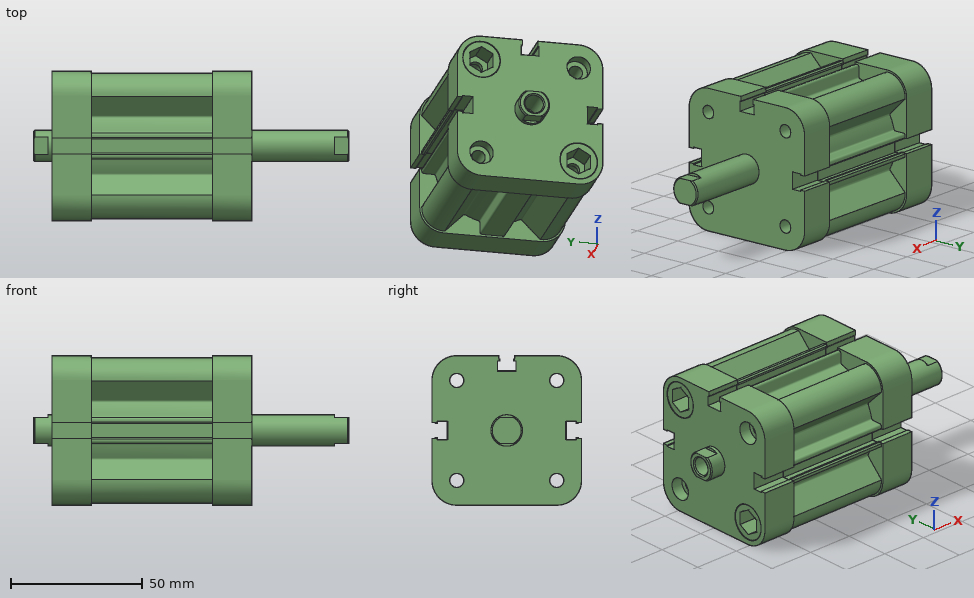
import cadquery as cq
import math


rod_length = 120.0
cap_size = 57.0
cap_length = 15.0
cap_corner_radius = 9.5
barrel_length = 46.1
barrel_size = 55.5
barrel_corner_radius = 8.8
tube_radius = 22.9
housing_start = 7.0
housing_length = barrel_length + 2 * cap_length
barrel_start = housing_start + cap_length
barrel_half = barrel_size / 2

rail_half_width = 4.9
rail_round = 1.0
column_slope = math.radians(45)
column_edge = 18.7
recess_fillet = 0.8

cap_slot_half_width = 3.5
barrel_slot_half_width = 3.6
slot_lip_bottom = 26.4
cap_neck_half_width = 3.0
cap_slot_floor = 22.5
barrel_neck_half_width = 2.6
barrel_lip_chamfer = 0.6
barrel_slot_floor = 22.8

hole_offset = cap_size / 2 - cap_corner_radius
through_diameter = 5.3
counterbore_diameter = 9.1
counterbore_depth = 5.0
screw_diameter = 14.4
screw_bore_diameter = 14.8
screw_length = 12.0
screw_recess = 0.1
hex_across_flats = 9.1
hex_depth = 9.6

rod_diameter = 12.0
rod_chamfer = 0.5
rod_flat_width = 10.0
rod_flat_length = 5.4
thread_diameter = 7.2
thread_chamfer = 0.5
thread_depth = 14.4
drill_half_angle = math.radians(59)

slot_angles = (0, 90, -90)
side_angles = (0, 90, 180, 270)
screw_corners = [(hole_offset, hole_offset), (-hole_offset, -hole_offset)]
plain_corners = [(hole_offset, -hole_offset), (-hole_offset, hole_offset)]


def section(x):
    """Workplane across the axis at x, with local X along Y and local Y along Z."""
    return cq.Workplane("YZ", origin=(x, 0, 0))


def turned(body, angle):
    """The body turned about the cylinder axis."""
    return body.rotate((0, 0, 0), (1, 0, 0), angle)


def rounded_block(x, length, size, corner_radius):
    return section(x).rect(size, size).extrude(length).edges("|X").fillet(corner_radius)


def barrel_recess():
    """Space between the top rail and a corner column, with the round tube as its floor."""
    slope = math.tan(column_slope)
    flank_base = barrel_half - slope * column_edge
    square_term = 1 + slope**2
    root = math.sqrt(square_term * tube_radius**2 - flank_base**2)
    floor_y = (root - slope * flank_base) / square_term
    floor_z = flank_base + slope * floor_y

    rail_foot_z = math.sqrt(tube_radius**2 - rail_half_width**2)
    middle_y = (rail_half_width + floor_y) / 2
    middle_z = math.sqrt(tube_radius**2 - middle_y**2)
    round_middle = rail_round * (1 - math.sqrt(0.5))

    recess = (
        section(barrel_start)
        .moveTo(rail_half_width - rail_round, barrel_half)
        .threePointArc(
            (rail_half_width - round_middle, barrel_half - round_middle),
            (rail_half_width, barrel_half - rail_round),
        )
        .lineTo(rail_half_width, rail_foot_z)
        .threePointArc((middle_y, middle_z), (floor_y, floor_z))
        .lineTo(column_edge, barrel_half)
        .close()
        .extrude(barrel_length)
    )
    middle_x = barrel_start + barrel_length / 2
    for y, z in [(floor_y, floor_z), (rail_half_width, rail_foot_z)]:
        foot_edge = cq.NearestToPointSelector((middle_x, y, z))
        recess = recess.edges("|X").edges(foot_edge).fillet(recess_fillet)
    return recess


def slot(x, length, top, neck_half_width, slot_half_width, floor):
    """T-slot in the top side, from its opening at the given height down to its floor."""
    right_side = [
        (neck_half_width, top),
        (neck_half_width, slot_lip_bottom),
        (slot_half_width, slot_lip_bottom),
        (slot_half_width, floor),
    ]
    left_side = [(-y, z) for y, z in reversed(right_side)]
    return section(x).polyline(right_side + left_side).close().extrude(length)


def lip_chamfers():
    """Wedge that bevels both lips of the top barrel slot."""
    outer_half_width = barrel_neck_half_width + barrel_lip_chamfer
    return (
        section(barrel_start)
        .moveTo(-outer_half_width, barrel_half)
        .lineTo(outer_half_width, barrel_half)
        .lineTo(barrel_neck_half_width, barrel_half - barrel_lip_chamfer)
        .lineTo(-barrel_neck_half_width, barrel_half - barrel_lip_chamfer)
        .close()
        .extrude(barrel_length)
    )


def make_barrel():
    barrel = rounded_block(barrel_start, barrel_length, barrel_size, barrel_corner_radius)
    recess = barrel_recess()
    recess_pair = [recess, recess.mirror("XZ")]
    for angle in side_angles:
        for side in recess_pair:
            barrel = barrel.cut(turned(side, angle))
    barrel_slot = slot(
        barrel_start,
        barrel_length,
        barrel_half,
        barrel_neck_half_width,
        barrel_slot_half_width,
        barrel_slot_floor,
    ).union(lip_chamfers())
    for angle in slot_angles:
        barrel = barrel.cut(turned(barrel_slot, angle))
    return barrel


def make_cap(x):
    cap = rounded_block(x, cap_length, cap_size, cap_corner_radius)
    cap_slot = slot(x, cap_length, cap_size / 2, cap_neck_half_width, cap_slot_half_width, cap_slot_floor)
    for angle in slot_angles:
        cap = cap.cut(turned(cap_slot, angle))
    return cap


def make_housing():
    """Barrel and both caps in one piece, with the rod bore and the corner holes."""
    housing = make_barrel()
    for x in (housing_start, barrel_start + barrel_length):
        housing = housing.union(make_cap(x))

    face = section(housing_start)
    rod_bore = face.circle(rod_diameter / 2).extrude(housing_length)
    through_holes = (
        face.pushPoints(screw_corners + plain_corners).circle(through_diameter / 2).extrude(housing_length)
    )
    counterbores = face.pushPoints(plain_corners).circle(counterbore_diameter / 2).extrude(counterbore_depth)
    screw_bores = (
        face.pushPoints(screw_corners)
        .circle(screw_bore_diameter / 2)
        .extrude(screw_length + screw_recess)
    )
    return housing.cut(rod_bore).cut(through_holes).cut(counterbores).cut(screw_bores)


def make_screw(y, z):
    """Hollow screw with a hexagon socket whose points lie along Z."""
    head = section(housing_start + screw_recess).center(y, z)
    hex_corner_diameter = hex_across_flats / math.cos(math.radians(30))
    socket = (
        head.transformed(rotate=(0, 0, 90)).polygon(6, hex_corner_diameter).extrude(hex_depth)
    )
    bore = head.circle(through_diameter / 2).extrude(screw_length)
    return head.circle(screw_diameter / 2).extrude(screw_length).cut(socket).cut(bore)


def threaded_hole():
    """Blind hole in the left rod end, with a chamfered mouth and a drill-point bottom."""
    radius = thread_diameter / 2
    tip_depth = thread_depth + radius / math.tan(drill_half_angle)
    half_section = [
        (0, 0),
        (0, radius + thread_chamfer),
        (thread_chamfer, radius),
        (thread_depth, radius),
        (tip_depth, 0),
    ]
    return cq.Workplane("XY").polyline(half_section).close().revolve(360, (0, 0, 0), (1, 0, 0))


def make_rod():
    rod = section(0).circle(rod_diameter / 2).extrude(rod_length)
    rod = rod.faces("<X or >X").chamfer(rod_chamfer)
    flat_depth = (rod_diameter - rod_flat_width) / 2
    flat_centre = (rod_flat_width + flat_depth) / 2
    for x in (0, rod_length - rod_flat_length):
        flats = (
            section(x)
            .pushPoints([(0, flat_centre), (0, -flat_centre)])
            .rect(rod_diameter, flat_depth)
            .extrude(rod_flat_length)
        )
        rod = rod.cut(flats)
    return rod.cut(threaded_hole())


housing = make_housing()
rod = make_rod()
screws = [make_screw(y, z) for y, z in screw_corners]

result = cq.Compound.makeCompound([housing.val(), rod.val(), *[screw.val() for screw in screws]])